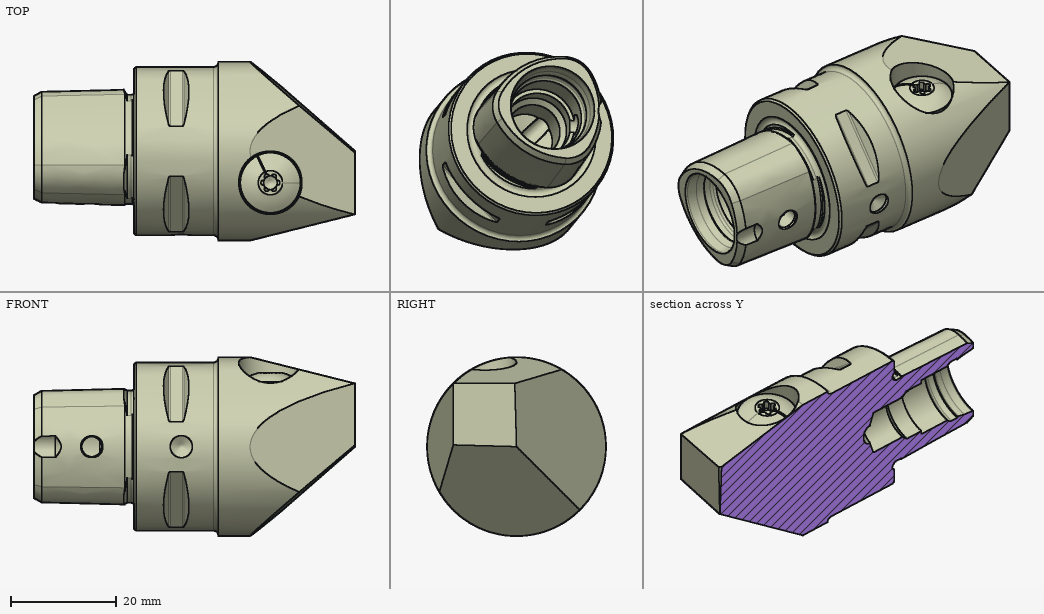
import cadquery as cq
import math


shank_chamfer_length = 1.5
shank_length = 17.3
flange_front = 19.0
flange_length = 16.0
head_start = flange_front + flange_length
wedge_start = 41.0
total_length = 61.0

shank_mean_radius = 11.0
shank_eccentricity = 0.7
lobe_reach = shank_mean_radius + shank_eccentricity
side_reach = shank_mean_radius - shank_eccentricity
lobe_centre = (lobe_reach - side_reach) / (2 - math.sqrt(3))
taper_slope = 1 / 40
shank_chamfer = 0.8
relief_inset = 0.2
relief_flare_length = 0.3

flange_radius = 16.0
flange_chamfer = 0.4
head_radius = 17.0
head_fillet = 0.9

groove_radius = 10.7
groove_arc_radius = 1.0
groove_arc_start = 18.4
groove_cone_end = 17.7
groove_cone_length = 1.2
groove_outer_radius = 12.5

blunt_face_drop = 5.0
tip_face_lean = 0.0275
cutter_size = 60.0

bore_mouth = (0.0, 8.15)
bore_cone_start = (0.35, 8.0)
bore_cone_middle = (2.2, 7.75)
bore_lip = (3.6, 7.4)
bore_lip_width = 0.25
bore_groove_radius = 7.65
bore_groove_end = 5.25
bore_groove_fillet = 0.77
bore_radius = 6.95
bore_ledge = 12.5
ledge_inner_radius = 6.15
bore_shoulder = 16.0
inner_bore_radius = 5.1
inner_bore_depth = 24.0
bore_tip_depth = 25.5
cross_hole_radius = 1.6
cross_hole_half_length = 7.0

end_hole_radius = 2.7
end_hole_axis = 11.6
end_hole_depth = 4.1
wall_hole_radius = 1.9
wall_hole_place = 11.0
wall_hole_rim_radius = 2.12
wall_hole_rim_depth = 0.5
dimple_radius = 2.1
dimple_place = 28.0
dimple_wall_depth = 0.7
dimple_cone_depth = 1.3

gripper_place = 27.03
gripper_floor_distance = 14.15
gripper_floor_width = 2.7
gripper_side_angle = 30.0
gripper_floor_fillet = 0.4

cap_place = (44.9, -6.0)
pocket_radius = 6.0
pocket_floor = 11.0
cap_radius = 5.7
cap_top = 14.0
cap_flat_radius = 2.3
dome_radius = 9.3
socket_depth = 1.8
socket_tip_depth = 0.6
socket_inner_radius = 1.3
socket_lobe_radius = 0.45
socket_lobe_offset = 1.35
socket_lobes = 6
mark_angle = 116.0
mark_width = 0.2
mark_depth = 0.2


def polygon_section(x, inset):
    """Closed outline at x: three lobe arcs joined by three long side arcs, one lobe toward +Y."""
    lobe_radius = lobe_reach - lobe_centre - inset
    side_radius = side_reach + lobe_centre - inset

    def arc_point(centre_angle, radius, angle):
        return (
            lobe_centre * math.cos(math.radians(centre_angle)) + radius * math.cos(math.radians(angle)),
            lobe_centre * math.sin(math.radians(centre_angle)) + radius * math.sin(math.radians(angle)),
        )

    outline = cq.Workplane("YZ", origin=(x, 0, 0)).moveTo(*arc_point(0, lobe_radius, -30))
    for lobe in (0, 120, 240):
        outline = outline.threePointArc(
            arc_point(lobe, lobe_radius, lobe), arc_point(lobe, lobe_radius, lobe + 30)
        )
        opposite = lobe + 240
        outline = outline.threePointArc(
            arc_point(opposite, side_radius, lobe + 60), arc_point(opposite, side_radius, lobe + 90)
        )
    return outline.close().wires().val()


def polygon_length(start, start_inset, end, end_inset):
    """Straight-sided length of polygon between two sections."""
    sections = [polygon_section(start, start_inset), polygon_section(end, end_inset)]
    return cq.Workplane(obj=cq.Solid.makeLoft(sections, True))


def taper_inset(x):
    """How far the tapered outline at x lies inside the full polygon."""
    return (shank_length - x) * taper_slope


def make_shank():
    chamfer_inset = taper_inset(0) + shank_chamfer
    body_inset = taper_inset(shank_chamfer_length)
    chamfered_end = polygon_length(0, chamfer_inset, shank_chamfer_length, body_inset)
    taper = polygon_length(shank_chamfer_length, body_inset, shank_length, 0)
    relief_length = polygon_length(shank_length, relief_inset, flange_front, relief_inset)
    relief_flare = polygon_length(flange_front - relief_flare_length, relief_inset, flange_front, 0)
    return chamfered_end.union(taper).union(relief_length).union(relief_flare)


def make_flange_and_head():
    arc_middle = head_fillet * math.sqrt(0.5)
    return (
        cq.Workplane("XZ")
        .moveTo(flange_front, 0)
        .lineTo(flange_front, flange_radius - flange_chamfer)
        .lineTo(flange_front + flange_chamfer, flange_radius)
        .lineTo(head_start - head_fillet, flange_radius)
        .threePointArc(
            (head_start - head_fillet + arc_middle, flange_radius + head_fillet - arc_middle),
            (head_start, flange_radius + head_fillet),
        )
        .lineTo(head_start, head_radius)
        .lineTo(total_length, head_radius)
        .lineTo(total_length, 0)
        .close()
        .revolve(360, (0, 0, 0), (1, 0, 0))
    )


def ring_groove():
    arc_centre_radius = groove_radius + groove_arc_radius
    arc_reach = groove_arc_radius * math.sqrt(0.5)
    cone_start = groove_cone_end - groove_cone_length
    face_reach = flange_front - groove_arc_start
    outer_rise = math.sqrt(groove_arc_radius**2 - face_reach**2)
    return (
        cq.Workplane("XZ")
        .moveTo(cone_start, groove_outer_radius)
        .lineTo(groove_cone_end, groove_radius)
        .lineTo(groove_arc_start, groove_radius)
        .threePointArc(
            (groove_arc_start + arc_reach, arc_centre_radius - arc_reach),
            (flange_front, arc_centre_radius + outer_rise),
        )
        .close()
        .revolve(360, (0, 0, 0), (1, 0, 0))
    )


def cutter_beyond(point, direction, normal):
    """A large block filling everything past a plane, on the side its normal points to."""
    plane = cq.Plane(origin=point, xDir=direction, normal=normal)
    return cq.Workplane(plane).rect(2 * cutter_size, 2 * cutter_size).extrude(cutter_size)


def cut_wedge(body):
    """Two shallow faces on +Z and -Y, and two steep ones on +Y and -Z that run to the tip."""
    run = total_length - wedge_start
    edge = (wedge_start, -head_radius, head_radius)
    top_normal = (blunt_face_drop, 0, run)
    side_normal = (blunt_face_drop, -run, 0)
    for normal in (top_normal, side_normal):
        body = body.cut(cutter_beyond(edge, (0, normal[2], -normal[1]), normal))

    tip = (total_length, 0, 0)
    back_normal = (head_radius, run, run * tip_face_lean)
    body = body.cut(cutter_beyond(tip, (-run, head_radius, 0), back_normal))
    bottom_normal = (head_radius, -run * tip_face_lean, -run)
    return body.cut(cutter_beyond(tip, (-run, 0, -head_radius), bottom_normal))


def bore():
    """Stepped bore, with a diagonal hole crossing its end.

    Its groove runs out through a 45 degree fillet and a 45 degree cone into the main bore.
    """
    lip_end = bore_lip[0] + bore_lip_width

    def fillet_point(angle):
        turn = math.radians(angle)
        return (
            bore_groove_end + bore_groove_fillet * math.sin(turn),
            bore_groove_radius - bore_groove_fillet * (1 - math.cos(turn)),
        )

    cone_start = fillet_point(45)
    cone_end = cone_start[0] + cone_start[1] - bore_radius
    shoulder_end = bore_shoulder + ledge_inner_radius - inner_bore_radius
    stepped = (
        cq.Workplane("XZ")
        .moveTo(0, 0)
        .lineTo(*bore_mouth)
        .lineTo(*bore_cone_start)
        .lineTo(*bore_cone_middle)
        .lineTo(*bore_lip)
        .lineTo(lip_end, bore_lip[1])
        .lineTo(lip_end, bore_groove_radius)
        .lineTo(bore_groove_end, bore_groove_radius)
        .threePointArc(fillet_point(22.5), cone_start)
        .lineTo(cone_end, bore_radius)
        .lineTo(bore_ledge, bore_radius)
        .lineTo(bore_ledge, ledge_inner_radius)
        .lineTo(bore_shoulder, ledge_inner_radius)
        .lineTo(shoulder_end, inner_bore_radius)
        .lineTo(inner_bore_depth, inner_bore_radius)
        .lineTo(bore_tip_depth, 0)
        .close()
        .revolve(360, (0, 0, 0), (1, 0, 0))
    )
    cross_plane = cq.Plane(
        origin=((inner_bore_depth + bore_tip_depth) / 2, 0, 0), xDir=(1, 0, 0), normal=(0, -1, 1)
    )
    cross_hole = (
        cq.Workplane(cross_plane).circle(cross_hole_radius).extrude(cross_hole_half_length, both=True)
    )
    return stepped.union(cross_hole)


def end_hole():
    """Drilled along X into the shank's end, half open to its -Y side, with a pointed end."""
    return (
        cq.Workplane("XY")
        .moveTo(0, -end_hole_axis)
        .lineTo(0, -end_hole_axis + end_hole_radius)
        .lineTo(end_hole_depth, -end_hole_axis + end_hole_radius)
        .lineTo(end_hole_depth + end_hole_radius, -end_hole_axis)
        .close()
        .revolve(360, (0, -end_hole_axis, 0), (1, -end_hole_axis, 0))
    )


def wall_hole():
    """Round hole through the shank wall into the bore, with a shallow flared rim."""
    surface = side_reach - taper_inset(wall_hole_place)
    hole = cq.Workplane("XZ", origin=(wall_hole_place, 0, 0)).circle(wall_hole_radius).extrude(lobe_reach)
    rim = cq.Solid.makeCone(
        wall_hole_rim_radius,
        wall_hole_radius,
        wall_hole_rim_depth,
        cq.Vector(wall_hole_place, -surface, 0),
        cq.Vector(0, 1, 0),
    )
    return hole.union(cq.Workplane(obj=rim))


def dimple():
    """Shallow drilled hole with a conical bottom in the -Y side of the flange."""
    wall_end = flange_radius - dimple_wall_depth
    wall = (
        cq.Workplane("XZ", origin=(dimple_place, -wall_end, 0))
        .circle(dimple_radius)
        .extrude(head_radius - wall_end)
    )
    cone = cq.Solid.makeCone(
        dimple_radius, 0, dimple_cone_depth, cq.Vector(dimple_place, -wall_end, 0), cq.Vector(0, 1, 0)
    )
    return wall.union(cq.Workplane(obj=cone))


def gripper_groove(angle):
    """Straight groove across the flange with leaning sides, its floor facing the given angle."""
    depth = head_radius - gripper_floor_distance
    side_run = depth * math.tan(math.radians(gripper_side_angle))
    half_floor = gripper_floor_width / 2
    groove = (
        cq.Workplane("XY")
        .moveTo(gripper_place - half_floor, gripper_floor_distance)
        .lineTo(gripper_place + half_floor, gripper_floor_distance)
        .lineTo(gripper_place + half_floor + side_run, head_radius)
        .lineTo(gripper_place - half_floor - side_run, head_radius)
        .close()
        .extrude(head_radius, both=True)
        .edges("<Y")
        .fillet(gripper_floor_fillet)
    )
    return groove.rotate((0, 0, 0), (1, 0, 0), angle)


def cap_pocket():
    return (
        cq.Workplane("XY", origin=(*cap_place, pocket_floor))
        .circle(pocket_radius)
        .extrude(head_radius - pocket_floor)
    )


def make_holder():
    holder = make_shank().union(make_flange_and_head()).cut(ring_groove())
    holder = cut_wedge(holder)
    for cutter in (bore(), end_hole(), wall_hole(), dimple(), cap_pocket()):
        holder = holder.cut(cutter)
    for angle in (45, 135, 225, 315):
        holder = holder.cut(gripper_groove(angle))
    return holder


def cap_socket():
    """Six-lobed wrench socket with a conical bottom, hanging down from z = 0."""
    socket = cq.Workplane("XY").circle(socket_inner_radius).extrude(-socket_depth)
    lobes = (
        cq.Workplane("XY")
        .polarArray(socket_lobe_offset, 0, 360, socket_lobes)
        .circle(socket_lobe_radius)
        .extrude(-socket_depth)
    )
    point = cq.Solid.makeCone(
        socket_inner_radius, 0, socket_tip_depth, cq.Vector(0, 0, -socket_depth), cq.Vector(0, 0, -1)
    )
    return socket.union(lobes).union(cq.Workplane(obj=point))


def dome_height(radius, sphere_radius=dome_radius):
    """Height above the pocket floor of a sphere that shares the dome's centre."""
    sphere_centre = cap_top - pocket_floor - math.sqrt(dome_radius**2 - cap_flat_radius**2)
    return sphere_centre + math.sqrt(sphere_radius**2 - radius**2)


def cap_mark():
    """Fine radial groove of even depth from the cap's rim to its socket."""
    inner_radius = dome_radius - mark_depth
    middle = cap_radius / 2
    groove = (
        cq.Workplane("XZ", origin=(0, mark_width / 2, 0))
        .moveTo(0, dome_height(0, inner_radius))
        .threePointArc(
            (middle, dome_height(middle, inner_radius)), (cap_radius, dome_height(cap_radius, inner_radius))
        )
        .lineTo(cap_radius, cap_top)
        .lineTo(0, cap_top)
        .close()
        .extrude(mark_width)
    )
    return groove.rotate((0, 0, 0), (0, 0, 1), mark_angle)


def make_cap():
    middle_radius = (cap_flat_radius + cap_radius) / 2
    cap = (
        cq.Workplane("XZ")
        .lineTo(cap_radius, 0)
        .lineTo(cap_radius, dome_height(cap_radius))
        .threePointArc(
            (middle_radius, dome_height(middle_radius)), (cap_flat_radius, dome_height(cap_flat_radius))
        )
        .lineTo(0, cap_top - pocket_floor)
        .close()
        .revolve(360, (0, 0, 0), (0, 1, 0))
    )
    cap = cap.cut(cap_socket().translate((0, 0, cap_top - pocket_floor)))
    cap = cap.cut(cap_mark())
    return cap.translate((*cap_place, pocket_floor))


holder = make_holder()
cap = make_cap()

result = cq.Compound.makeCompound([holder.val(), cap.val()])